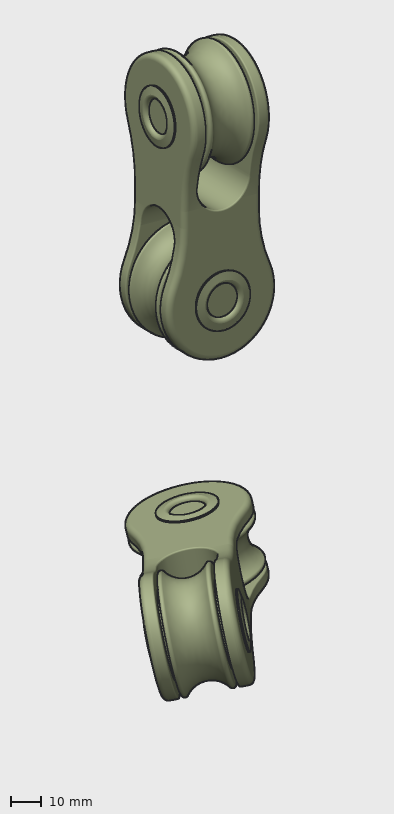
import cadquery as cq
import math


total_height = 104.9
lobe_radius = 21.0
axle_height = total_height / 2 - lobe_radius
arm_width = 30.1
neck_radius = 50.4
outer_fillet = 2.0

slot_width = 20.0
slot_fillet = 0.5
slot_arc_height = slot_width / 2 + slot_fillet
selection_margin = 0.01

sheave_width = 17.8
sheave_radius = 21.0
groove_floor_radius = 17.0
rim_round = 1.0
washer_diameter = 30.0

head_diameter = 20.9
head_rim_height = 0.5
head_height = 1.2
head_top_diameter = 15.0
head_bore_fillet = 1.6


def swap_ends(shape):
    """Turn a shape half a turn about the X = Y diagonal, so upper features become lower ones."""
    return shape.rotate((0, 0, 0), (1, 1, 0), 180)


def lobe_outline():
    """Round lobe at the top, blended by tangent neck arcs into a straight arm below."""
    arm_half = arm_width / 2
    arc_x = arm_half + neck_radius
    drop = math.sqrt((lobe_radius + neck_radius) ** 2 - arc_x**2)
    neck_z = axle_height - drop
    joint_ratio = lobe_radius / (lobe_radius + neck_radius)
    joint_x = arc_x * joint_ratio
    joint_z = axle_height - drop * joint_ratio
    middle_angle = math.atan2(drop, arc_x) / 2
    middle_x = arc_x - neck_radius * math.cos(middle_angle)
    middle_z = neck_z + neck_radius * math.sin(middle_angle)
    return (
        cq.Workplane("XZ")
        .moveTo(-arm_half, -total_height / 2)
        .lineTo(arm_half, -total_height / 2)
        .lineTo(arm_half, neck_z)
        .threePointArc((middle_x, middle_z), (joint_x, joint_z))
        .threePointArc((0, total_height / 2), (-joint_x, joint_z))
        .threePointArc((-middle_x, middle_z), (-arm_half, neck_z))
        .close()
    )


def sheave_slot():
    """Round-bottomed slot across X for the upper sheave, open at the top."""
    slot_length = total_height
    bottom = cq.Workplane("YZ").center(0, slot_arc_height).circle(slot_width / 2)
    bottom = bottom.extrude(slot_length / 2, both=True)
    sides = cq.Workplane("XY").workplane(offset=slot_arc_height).rect(slot_length, slot_width)
    return bottom.union(sides.extrude(total_height))


def slot_rim_edges(body):
    """Edges where the upper slot meets the outside of the body."""
    reach = slot_width / 2 + selection_margin
    slot_zone = cq.selectors.BoxSelector(
        (-total_height, -reach, 0), (total_height, reach, total_height)
    )
    wall_joints = cq.selectors.ParallelDirSelector(cq.Vector(1, 0, 0))
    return body.edges(slot_zone - wall_joints)


def axle_hole():
    """Hole through both cheeks for the upper axle."""
    hole = cq.Workplane("XZ").center(0, axle_height).circle(head_diameter / 2)
    return hole.extrude(arm_width, both=True)


def make_body():
    """Body common to both lobe outlines, slotted and bored at each end, with outer edges rounded."""
    upper = lobe_outline().extrude(lobe_radius * 2, both=True)
    body = upper.intersect(swap_ends(upper)).edges().fillet(outer_fillet)
    for _ in ("upper", "lower"):
        body = slot_rim_edges(body.cut(sheave_slot())).fillet(slot_fillet)
        body = swap_ends(body.cut(axle_hole()))
    return body


def revolve_on_upper_axle(profile):
    """Turn an open (radius, distance along Y) profile, closed along the axis, about the upper axle."""
    return profile.close().revolve(360, (0, 0, 0), (0, 1, 0)).translate((0, 0, axle_height))


def make_sheave():
    """Grooved sheave with fully rounded rims, plus the washer that spaces it from the slot walls."""
    rim_y = sheave_width / 2 - rim_round
    rim_r = sheave_radius - rim_round
    rise = rim_r - groove_floor_radius
    groove_radius = (rim_y**2 + rise**2 - rim_round**2) / (2 * (rise + rim_round))
    groove_center_r = groove_floor_radius + groove_radius
    joint_angle = math.atan2(groove_center_r - rim_r, rim_y)

    joint_r = groove_center_r - groove_radius * math.sin(joint_angle)
    joint_y = groove_radius * math.cos(joint_angle)
    crest_angle = (math.pi - joint_angle) / 2
    crest_r = rim_r + rim_round * math.sin(crest_angle)
    crest_y = rim_y + rim_round * math.cos(crest_angle)
    profile = (
        cq.Workplane("XY")
        .moveTo(0, -slot_width / 2)
        .lineTo(washer_diameter / 2, -slot_width / 2)
        .lineTo(washer_diameter / 2, -sheave_width / 2)
        .lineTo(rim_r, -sheave_width / 2)
        .threePointArc((crest_r, -crest_y), (joint_r, -joint_y))
        .threePointArc((groove_floor_radius, 0), (joint_r, joint_y))
        .threePointArc((crest_r, crest_y), (rim_r, sheave_width / 2))
        .lineTo(washer_diameter / 2, sheave_width / 2)
        .lineTo(washer_diameter / 2, slot_width / 2)
        .lineTo(0, slot_width / 2)
    )
    return revolve_on_upper_axle(profile)


def make_axle():
    """Plain axle whose dished, coned heads stand out of both faces of the body."""
    rim = arm_width / 2 + head_rim_height
    top = arm_width / 2 + head_height
    top_radius = head_top_diameter / 2
    floor_radius = top_radius - head_bore_fillet
    floor = top - head_bore_fillet
    bend = head_bore_fillet * math.sqrt(0.5)
    profile = (
        cq.Workplane("XY")
        .moveTo(0, -floor)
        .lineTo(floor_radius, -floor)
        .threePointArc((top_radius - bend, -floor - bend), (top_radius, -top))
        .lineTo(head_diameter / 2, -rim)
        .lineTo(head_diameter / 2, rim)
        .lineTo(top_radius, top)
        .threePointArc((top_radius - bend, floor + bend), (floor_radius, floor))
        .lineTo(0, floor)
    )
    return revolve_on_upper_axle(profile)


upper_parts = make_sheave().union(make_axle())
result = make_body().union(upper_parts).union(swap_ends(upper_parts))